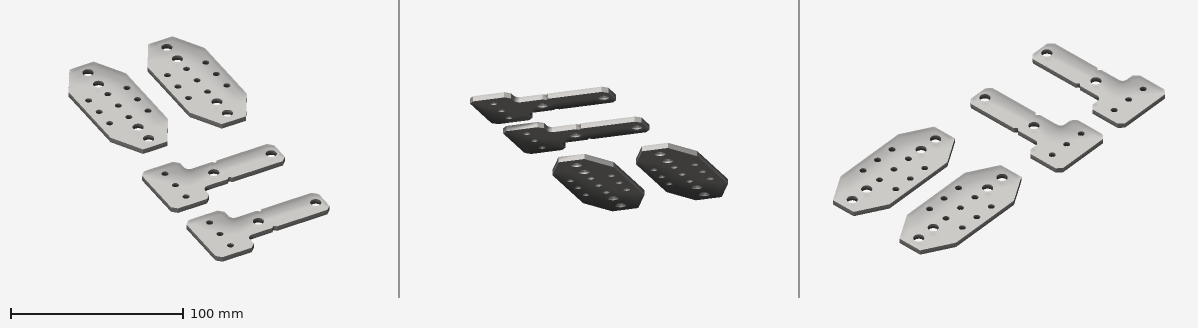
import cadquery as cq

overall_length = 203.2
thickness = 3.3
hole_pitch = 50.8 / 4
bolt_diameter = 6.5
screw_diameter = 4.0

plate_length = 7 * hole_pitch
plate_width = 3 * hole_pitch
plate_flat_length = 4 * hole_pitch
plate_end_width = 16.0
outer_bolt_x = 36.5
bolt_xs = (outer_bolt_x, outer_bolt_x - hole_pitch)
plate_centers = [(45.0, 73.1), (plate_length / 2, 21.1)]

head_length = 3.25 * hole_pitch
head_width = 2 * hole_pitch
stem_width = 1.5 * hole_pitch
bracket_height = 81.7
corner_chamfer = 3.0
inner_fillet = 3.3
notch_height = 43.7
notch_depth = 1.6
screw_row_height = head_width / 2
lower_bolt_height = screw_row_height + 2 * hole_pitch
upper_bolt_height = lower_bolt_height + 3 * hole_pitch
bracket_places = [(128.5, 0.2), (overall_length - head_length / 2, 0)]


def cut_holes(body, points, diameter):
    """Cut round holes through the full thickness at the given points."""
    holes = cq.Workplane("XY").pushPoints(points).circle(diameter / 2).extrude(thickness)
    return body.cut(holes)


def make_plate():
    """Octagonal plate centred on the origin: a 3 x 3 screw grid between two pairs of bolt holes."""
    half_length = plate_length / 2
    half_width = plate_width / 2
    half_flat = plate_flat_length / 2
    half_end = plate_end_width / 2
    outline = [
        (half_length, -half_end),
        (half_length, half_end),
        (half_flat, half_width),
        (-half_flat, half_width),
        (-half_length, half_end),
        (-half_length, -half_end),
        (-half_flat, -half_width),
        (half_flat, -half_width),
    ]
    plate = cq.Workplane("XY").polyline(outline).close().extrude(thickness)
    steps = (-hole_pitch, 0, hole_pitch)
    plate = cut_holes(plate, [(x, y) for x in steps for y in steps], screw_diameter)
    return cut_holes(plate, [(side * x, 0) for side in (-1, 1) for x in bolt_xs], bolt_diameter)


def make_bracket():
    """T-shaped bracket standing on its head, with the middle of its bottom edge at the origin."""
    half_head = head_length / 2
    half_stem = stem_width / 2
    right_side = [
        (half_head - corner_chamfer, 0),
        (half_head, corner_chamfer),
        (half_head, head_width - corner_chamfer),
        (half_head - corner_chamfer, head_width),
        (half_stem, head_width),
        (half_stem, notch_height - notch_depth),
        (half_stem - notch_depth, notch_height),
        (half_stem, notch_height + notch_depth),
        (half_stem, bracket_height - corner_chamfer),
        (half_stem - corner_chamfer, bracket_height),
    ]
    left_side = [(-x, y) for x, y in reversed(right_side)]
    bracket = cq.Workplane("XY").polyline(right_side + left_side).close().extrude(thickness)

    corner_reach = inner_fillet / 2
    for side in (-1, 1):
        corner = cq.selectors.BoxSelector(
            (side * half_stem - corner_reach, head_width - corner_reach, 0),
            (side * half_stem + corner_reach, head_width + corner_reach, thickness),
        )
        bracket = bracket.edges("|Z").edges(corner).fillet(inner_fillet)

    screw_points = [(x, screw_row_height) for x in (-hole_pitch, 0, hole_pitch)]
    bracket = cut_holes(bracket, screw_points, screw_diameter)
    return cut_holes(bracket, [(0, lower_bolt_height), (0, upper_bolt_height)], bolt_diameter)


plates = [make_plate().translate((x, y, 0)).val() for x, y in plate_centers]
brackets = [make_bracket().translate((x, y, 0)).val() for x, y in bracket_places]
result = cq.Compound.makeCompound([*plates, *brackets])